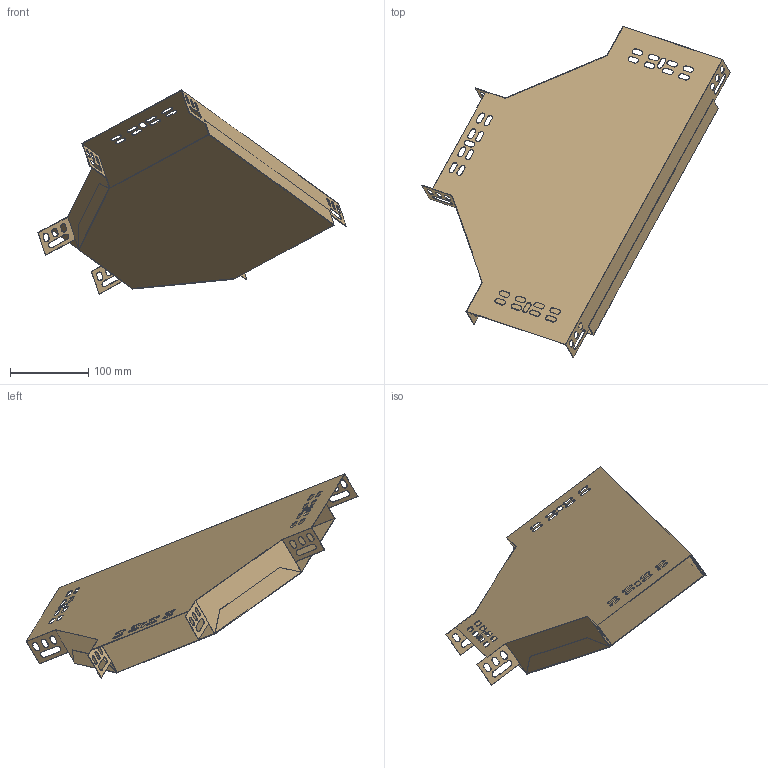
import cadquery as cq
import math


sheet = 0.7
inner_width = 150.0
inner_depth = 50.2
flare = 100.0
flare_angle = 45.0
arm_length = 45.3
tab_depth = 35.0
branch_floor_setback = 16.0
lip_height = 22.0

floor_slot_length = 15.0
floor_slot_width = 7.0
floor_slot_rows = (27.5, 39.5)
floor_slot_offsets = (14.0, 38.5)
cross_slot_setback = 31.5

upright_slot_length = 12.0
upright_slot_width = 7.0
upright_slot_setbacks = (8.6, 21.9, 35.2)
upright_slot_depth = 12.0
long_slot_length = 30.0
long_slot_width = 8.0
long_slot_setback = 23.0
long_slot_depth = 25.5

turn_x = -151.18
turn_y = -19.26
turn_z = -118.798

outer_width = inner_width + 2 * sheet
tray_depth = inner_depth + sheet
branch_half = outer_width / 2
flare_start = branch_half + flare
flare_end = outer_width + flare
run_half = flare_start + arm_length
branch_reach = flare_end + arm_length


def tee_outline(half_run, reach, inset):
    """Tee outline with its walls moved inwards by `inset`; open ends stay at half_run and reach."""
    bend_shift = inset * math.tan(math.radians(flare_angle / 2))
    right_side = [
        (half_run, inset),
        (half_run, outer_width - inset),
        (flare_start - bend_shift, outer_width - inset),
        (branch_half - inset, flare_end - bend_shift),
        (branch_half - inset, reach),
    ]
    left_side = [(-x, y) for x, y in reversed(right_side)]
    return right_side + left_side


def block(x_range, y_range, z_range):
    sizes = [high - low for low, high in (x_range, y_range, z_range)]
    return cq.Workplane().box(*sizes, centered=False).translate((x_range[0], y_range[0], z_range[0]))


def make_arm_slots():
    """Slot cutters of one arm whose end is at x = 0, centred on y = 0 and running to -x.

    The cutters overshoot the sheet on both sides.
    """
    rows = [(-x, side * y) for x in floor_slot_rows for y in floor_slot_offsets for side in (-1, 1)]
    floor_plane = cq.Workplane().workplane(offset=-sheet)
    slots = floor_plane.pushPoints(rows).slot2D(floor_slot_length, floor_slot_width, 90).extrude(3 * sheet)
    cross = floor_plane.center(-cross_slot_setback, 0).slot2D(floor_slot_length, floor_slot_width)
    slots = slots.add(cross.extrude(3 * sheet))

    wall_plane = cq.Workplane("XZ")
    uprights = [(-x, upright_slot_depth) for x in upright_slot_setbacks]
    upright = wall_plane.pushPoints(uprights).slot2D(upright_slot_length, upright_slot_width, 90)
    slots = slots.add(upright.extrude(outer_width, both=True))
    long_slot_centre = wall_plane.center(-long_slot_setback, long_slot_depth)
    long_slot = long_slot_centre.slot2D(long_slot_length, long_slot_width)
    slots = slots.add(long_slot.extrude(outer_width, both=True))
    return slots.combine()


def place_on_arms(cutter):
    """Copies of an arm cutter at the two run ends and at the branch end."""
    arm_ends = [
        ((run_half, outer_width / 2, 0), 0),
        ((0, branch_reach, 0), 90),
        ((-run_half, outer_width / 2, 0), 180),
    ]
    turn_axis = cq.Vector(0, 0, 1)
    return [cutter.val().moved(cq.Location(cq.Vector(*end), turn_axis, turn)) for end, turn in arm_ends]


def make_tray():
    outside = cq.Workplane().polyline(tee_outline(run_half, branch_reach, 0)).close().extrude(tray_depth)
    cavity = (
        cq.Workplane().workplane(offset=sheet)
        .polyline(tee_outline(2 * run_half, 2 * branch_reach, sheet)).close().extrude(tray_depth)
    )
    tray = outside.cut(cavity)

    tab_relief = block((-arm_length, 0), (-outer_width, outer_width), (tab_depth, 2 * tray_depth))
    for relief in place_on_arms(tab_relief):
        tray = tray.cut(cq.Workplane(relief))
    for slots in place_on_arms(make_arm_slots()):
        tray = tray.cut(cq.Workplane(slots))

    inner_half = inner_width / 2
    floor_end = branch_reach - branch_floor_setback
    return tray.cut(block((-inner_half, inner_half), (floor_end, 2 * branch_reach), (-sheet, 2 * sheet)))


def make_flare_lip():
    """Lid lip on the outside of the right flare wall, with ends sloped at 45 degrees."""
    length = flare / math.cos(math.radians(flare_angle))
    flare_plane = cq.Plane(
        origin=(flare_start, outer_width, tray_depth), xDir=(-1, 1, 0), normal=(1, 1, 0)
    )
    outline = [(0, 0), (length, 0), (length - lip_height, -lip_height), (lip_height, -lip_height)]
    return cq.Workplane(flare_plane).polyline(outline).close().extrude(sheet)


def make_lid():
    plate = (
        cq.Workplane().workplane(offset=tray_depth)
        .polyline(tee_outline(flare_start, flare_end, -sheet)).close().extrude(sheet)
    )
    lip_start = tray_depth - lip_height
    straight_lip = block((-flare_start, flare_start), (-sheet, 0), (lip_start, tray_depth))
    flare_lip = make_flare_lip()
    return plate.union(straight_lip).union(flare_lip).union(flare_lip.mirror("YZ"))


def set_attitude(body):
    origin = (0, 0, 0)
    for axis, turn in (((1, 0, 0), turn_x), ((0, 1, 0), turn_y), ((0, 0, 1), turn_z)):
        body = body.rotate(origin, axis, turn)
    return body


tray = set_attitude(make_tray())
lid = set_attitude(make_lid())
result = cq.Compound.makeCompound([tray.val(), lid.val()])